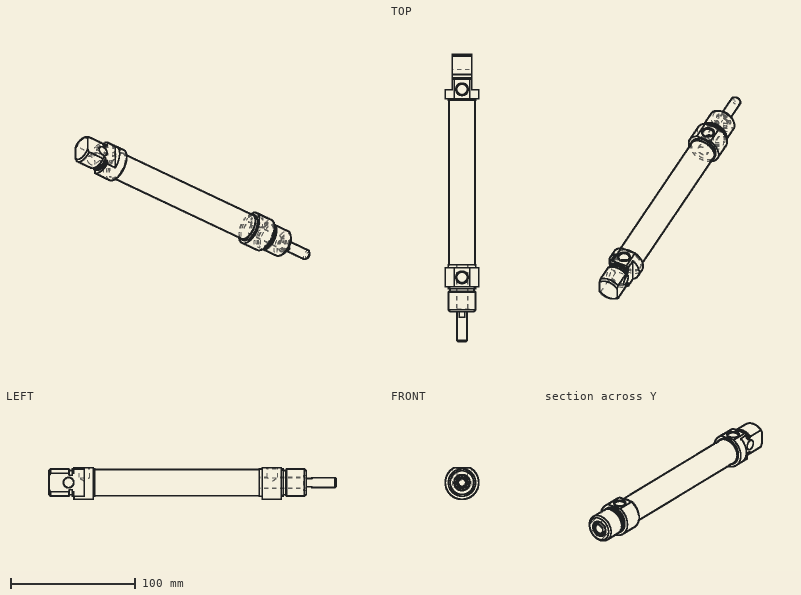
import cadquery as cq


FRONT_FACE_Y = 24.0
FRONT_COLLAR_START_Y = 44.1
FRONT_COLLAR_END_Y = 59.5
BARREL_START_Y = 61.7
BARREL_END_Y = 194.0
REAR_COLLAR_START_Y = 195.2
REAR_COLLAR_END_Y = 211.0
REAR_FACE_Y = 231.0

COLLAR_DIA = 27.0
COLLAR_FLAT_Z = 12.0
NECK_DIA = 22.2
THREAD_DIA = 22.0
GROOVE_DIA = 19.6
GROOVE_BEVEL_LENGTH = 0.7
GROOVE_WIDTH = 2.8
GROOVE_TO_COLLAR = 1.5
END_CHAMFER_LENGTH = 1.6
END_FACE_DIA = 19.0
PORT_DIA = 8.5
PORT_MOUTH_DIA = 10.0
PORT_MOUTH_CHAMFER = (PORT_MOUTH_DIA - PORT_DIA) / 2
PORT_MOUTH = [
    (PORT_MOUTH_DIA, COLLAR_FLAT_Z),
    (PORT_DIA, COLLAR_FLAT_Z - PORT_MOUTH_CHAMFER),
]

FRONT_PORT_Y = 51.7
RECESS_DIA = 12.0
RECESS_DEPTH = 2.3
RECESS_MOUTH_DIA = 13.0
ROD_BORE_DIA = 9.0

REAR_PORT_Y = 202.8
REAR_PORT_DEPTH = 8.0
DRILL_TIP_HEIGHT = 2.5
TONGUE_WIDTH = 16.0
TONGUE_START_Y = 202.5
PIVOT_HOLE_DIA = 8.0
PIVOT_HOLE_Y = 215.0

ROD_DIA = 8.0
ROD_TIP_DIA = 6.0
ROD_CHAMFER_LENGTH = 1.2
ROD_ACROSS_FLATS = 7.0
ROD_FLATS_START_Y = 19.6

BARREL_DIA = 21.3


def cylinder(diameter, start_y, end_y):
    """Solid cylinder on the main axis between two stations."""
    return cq.Workplane("XZ", origin=(0, start_y, 0)).circle(diameter / 2).extrude(start_y - end_y)


def turned(profile):
    """Revolve (diameter, y) corners, listed from the front end to the rear, about the main axis."""
    corners = [(0, profile[0][1])]
    corners += [(diameter / 2, y) for diameter, y in profile]
    corners += [(0, profile[-1][1])]
    return cq.Workplane("XY").polyline(corners).close().revolve(360, (0, 0, 0), (0, 1, 0))


def block(x_range, y_range, z_range):
    """Box given by its lower and upper limits along each axis."""
    (x0, x1), (y0, y1), (z0, z1) = x_range, y_range, z_range
    return cq.Workplane("XY").box(x1 - x0, y1 - y0, z1 - z0, centered=False).translate((x0, y0, z0))


def cut_port(cap, y, profile):
    """Cut a vertical port, revolved from (diameter, z) corners that start on top and end on its axis."""
    corners = [(0, profile[0][1])]
    corners += [(diameter / 2, z) for diameter, z in profile]
    port = cq.Workplane("XZ").polyline(corners).close().revolve(360, (0, 0, 0), (0, 1, 0))
    return cap.cut(port.translate((0, y, 0)))


def cut_collar_flat(cap):
    """Flatten the top of the collar where the port opens."""
    half = COLLAR_DIA
    return cap.cut(block((-half, half), (0, REAR_FACE_Y), (COLLAR_FLAT_Z, COLLAR_DIA)))


def make_front_cap():
    """Bearing cap with threaded nose, collar, top port, seal recess and rod bore."""
    groove_end_y = FRONT_COLLAR_START_Y - GROOVE_TO_COLLAR
    groove_start_y = groove_end_y - GROOVE_WIDTH
    cap = turned([
        (END_FACE_DIA, FRONT_FACE_Y),
        (THREAD_DIA, FRONT_FACE_Y + END_CHAMFER_LENGTH),
        (THREAD_DIA, groove_start_y),
        (GROOVE_DIA, groove_start_y + GROOVE_BEVEL_LENGTH),
        (GROOVE_DIA, groove_end_y),
        (THREAD_DIA, groove_end_y),
        (THREAD_DIA, FRONT_COLLAR_START_Y),
        (COLLAR_DIA, FRONT_COLLAR_START_Y),
        (COLLAR_DIA, FRONT_COLLAR_END_Y),
        (NECK_DIA, FRONT_COLLAR_END_Y),
        (NECK_DIA, BARREL_START_Y),
    ])
    cap = cut_collar_flat(cap)
    cap = cut_port(cap, FRONT_PORT_Y, PORT_MOUTH + [(PORT_DIA, 0), (0, 0)])
    mouth_chamfer = (RECESS_MOUTH_DIA - RECESS_DIA) / 2
    cap = cap.cut(turned([
        (RECESS_MOUTH_DIA, FRONT_FACE_Y),
        (RECESS_DIA, FRONT_FACE_Y + mouth_chamfer),
        (RECESS_DIA, FRONT_FACE_Y + RECESS_DEPTH),
    ]))
    return cap.cut(cylinder(ROD_BORE_DIA, FRONT_FACE_Y, BARREL_START_Y))


def make_rear_cap():
    """End cap with collar, top port and a flat-sided tongue crossed by the pivot hole."""
    groove_start_y = REAR_COLLAR_END_Y + GROOVE_TO_COLLAR
    groove_end_y = groove_start_y + GROOVE_WIDTH
    cap = turned([
        (NECK_DIA, BARREL_END_Y),
        (NECK_DIA, REAR_COLLAR_START_Y),
        (COLLAR_DIA, REAR_COLLAR_START_Y),
        (COLLAR_DIA, REAR_COLLAR_END_Y),
        (THREAD_DIA, REAR_COLLAR_END_Y),
        (THREAD_DIA, groove_start_y),
        (GROOVE_DIA, groove_start_y),
        (GROOVE_DIA, groove_end_y - GROOVE_BEVEL_LENGTH),
        (THREAD_DIA, groove_end_y),
        (THREAD_DIA, REAR_FACE_Y - END_CHAMFER_LENGTH),
        (END_FACE_DIA, REAR_FACE_Y),
    ])
    cap = cut_collar_flat(cap)
    port_floor_z = COLLAR_FLAT_Z - REAR_PORT_DEPTH
    cap = cut_port(
        cap, REAR_PORT_Y, PORT_MOUTH + [(PORT_DIA, port_floor_z), (0, port_floor_z - DRILL_TIP_HEIGHT)]
    )
    for x_range in ((-COLLAR_DIA, -TONGUE_WIDTH / 2), (TONGUE_WIDTH / 2, COLLAR_DIA)):
        cap = cap.cut(block(x_range, (TONGUE_START_Y, REAR_FACE_Y), (-COLLAR_DIA, COLLAR_DIA)))
    pivot_hole = cq.Workplane("YZ", origin=(0, PIVOT_HOLE_Y, 0)).circle(PIVOT_HOLE_DIA / 2)
    return cap.cut(pivot_hole.extrude(COLLAR_DIA / 2, both=True))


def make_barrel():
    """Plain round barrel between the end caps."""
    return cylinder(BARREL_DIA, BARREL_START_Y, BARREL_END_Y)


def make_rod():
    """Piston rod with a chamfered tip and a pair of wrench flats next to the front cap."""
    rod = turned([(ROD_TIP_DIA, 0), (ROD_DIA, ROD_CHAMFER_LENGTH), (ROD_DIA, BARREL_START_Y)])
    for z_range in ((-ROD_DIA, -ROD_ACROSS_FLATS / 2), (ROD_ACROSS_FLATS / 2, ROD_DIA)):
        rod = rod.cut(block((-ROD_DIA, ROD_DIA), (ROD_FLATS_START_Y, FRONT_FACE_Y), z_range))
    return rod


front_cap = make_front_cap()
rear_cap = make_rear_cap()
barrel = make_barrel()
rod = make_rod()

result = cq.Compound.makeCompound([front_cap.val(), rear_cap.val(), barrel.val(), rod.val()])